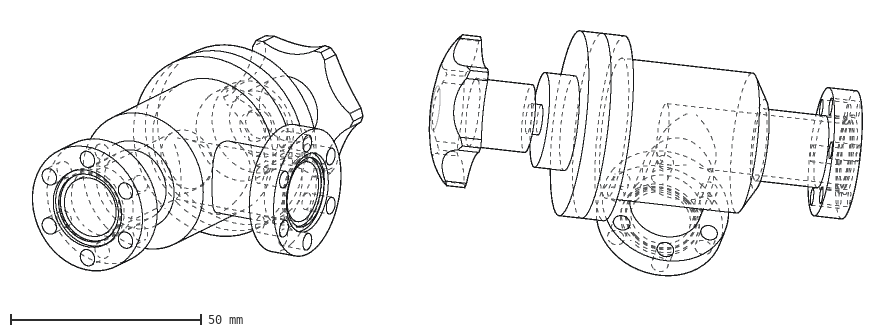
import cadquery as cq
import math


total_length = 111.0
total_width = 66.5
total_height = 49.0

cone_start = 24.0
cone_length = 4.0
housing_collar_start = 63.0
collar_thickness = 6.0
cap_length = 8.0
stem_length = 3.0
hub_length = 15.0

joint_plane = housing_collar_start + collar_thickness
bonnet_collar_end = joint_plane + collar_thickness
cap_end = bonnet_collar_end + cap_length
hub_start = cap_end + stem_length
head_start = hub_start + hub_length

collar_radius = total_height / 2
barrel_radius = 18.5
cone_small_radius = 12.0
cap_radius = 12.5
stem_radius = 4.0
hub_radius = 9.0

tube_radius = 9.5
bore_radius = 8.0
outlet_reach = total_width - collar_radius
outlet_axis_y = 42.0
bore_end = outlet_axis_y + bore_radius

flange_radius = 17.0
flange_thickness = 7.4
recess_radius = 10.5
recess_depth = 1.2
knife_radius = 9.2
knife_depth = 0.5
tube_end_depth = 1.4
bolt_count = 6
bolt_circle_radius = 13.5
bolt_hole_radius = 2.2

side_count = 6
head_radius = 20.0
waist_radius = 15.3
corner_land = 2.2
crown_flat_radius = 5.9
crown_drop = 5.1


def turned(points):
    """Revolve a closed (radius, y) profile about the Y axis."""
    return cq.Workplane("XY").polyline(points).close().revolve(360, (0, 0, 0), (0, 1, 0))


def cylinder_y(radius, start, end):
    """Solid cylinder on the Y axis."""
    return turned([(0, start), (radius, start), (radius, end), (0, end)])


def to_outlet(shape):
    """Move a shape from the inlet port position to the outlet port position."""
    return shape.rotate((0, 0, 0), (0, 0, 1), 90).translate((outlet_reach, outlet_axis_y, 0))


def make_flange():
    """Port flange at the inlet position, with a socket behind for the tube end."""
    ring = turned([
        (recess_radius, 0),
        (flange_radius, 0),
        (flange_radius, flange_thickness),
        (tube_radius, flange_thickness),
        (tube_radius, tube_end_depth),
        (knife_radius, tube_end_depth),
        (knife_radius, knife_depth),
        (recess_radius, recess_depth),
    ])
    bolt_holes = (
        cq.Workplane("XZ")
        .polarArray(bolt_circle_radius, 90, 360, bolt_count)
        .circle(bolt_hole_radius)
        .extrude(-flange_thickness)
    )
    return ring.cut(bolt_holes)


def make_housing():
    """Barrel with collar and cone, two port tubes, and the bores that meet inside it."""
    barrel = turned([
        (0, tube_end_depth),
        (tube_radius, tube_end_depth),
        (tube_radius, cone_start),
        (cone_small_radius, cone_start),
        (barrel_radius, cone_start + cone_length),
        (barrel_radius, housing_collar_start),
        (collar_radius, housing_collar_start),
        (collar_radius, joint_plane),
        (0, joint_plane),
    ])
    outlet_tube = to_outlet(cylinder_y(tube_radius, tube_end_depth, outlet_reach))
    inlet_bore = cylinder_y(bore_radius, 0, bore_end)
    outlet_bore = to_outlet(cylinder_y(bore_radius, 0, outlet_reach))
    return barrel.union(outlet_tube).cut(inlet_bore).cut(outlet_bore)


def make_bonnet():
    """Collar, cap and stem."""
    return turned([
        (0, joint_plane),
        (collar_radius, joint_plane),
        (collar_radius, bonnet_collar_end),
        (cap_radius, bonnet_collar_end),
        (cap_radius, cap_end),
        (stem_radius, cap_end),
        (stem_radius, hub_start),
        (0, hub_start),
    ])


def make_scallop():
    """Cylinder that cuts a shallow arc in the hexagon side facing +Z."""
    flat_radius = head_radius * math.cos(math.pi / side_count)
    half_side = head_radius * math.sin(math.pi / side_count)
    half_mouth = half_side - corner_land
    depth = flat_radius - waist_radius
    scallop_radius = (half_mouth**2 + depth**2) / (2 * depth)
    return (
        cq.Workplane("XZ", origin=(0, head_start, 0))
        .center(0, waist_radius + scallop_radius)
        .circle(scallop_radius)
        .extrude(head_start - total_length)
    )


def make_crown():
    """Turned envelope of the head: flat top, then an arc that falls to the rim."""
    run = head_radius - crown_flat_radius
    arc_radius = (run**2 + crown_drop**2) / (2 * crown_drop)
    half_sweep = math.asin(run / arc_radius) / 2
    arc_middle = (
        crown_flat_radius + arc_radius * math.sin(half_sweep),
        total_length - arc_radius * (1 - math.cos(half_sweep)),
    )
    return (
        cq.Workplane("XY")
        .moveTo(0, head_start)
        .lineTo(head_radius, head_start)
        .lineTo(head_radius, total_length - crown_drop)
        .threePointArc(arc_middle, (crown_flat_radius, total_length))
        .lineTo(0, total_length)
        .close()
        .revolve(360, (0, 0, 0), (0, 1, 0))
    )


def make_knob():
    """Scalloped hexagonal head with corners on the X axis, on a cylindrical hub."""
    hexagon = (
        cq.Workplane("XZ", origin=(0, head_start, 0))
        .polygon(side_count, 2 * head_radius)
        .extrude(head_start - total_length)
    )
    head = hexagon.intersect(make_crown())
    scallop = make_scallop()
    for side in range(side_count):
        head = head.cut(scallop.rotate((0, 0, 0), (0, 1, 0), side * 360 / side_count))
    return head.union(cylinder_y(hub_radius, hub_start, head_start))


inlet_flange = make_flange()
outlet_flange = to_outlet(make_flange())
housing = make_housing()
bonnet = make_bonnet()
knob = make_knob()

result = cq.Compound.makeCompound([
    inlet_flange.val(),
    outlet_flange.val(),
    housing.val(),
    bonnet.val(),
    knob.val(),
])